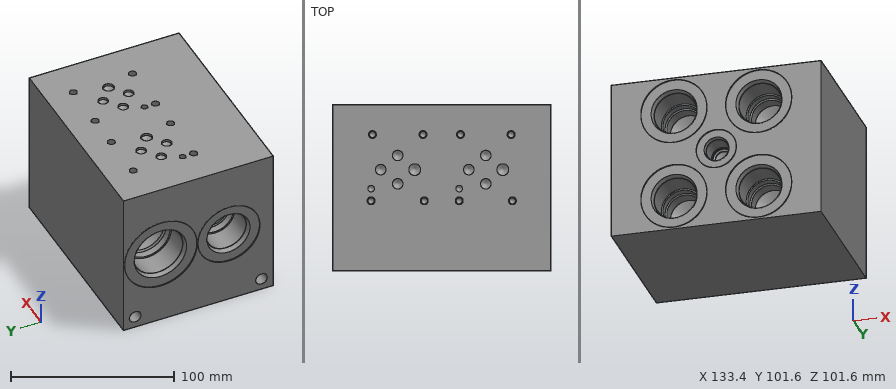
import cadquery as cq
import math

LENGTH = 133.4
WIDTH = 101.6
HEIGHT = 101.6
MID_X = LENGTH / 2
MID_Z = HEIGHT / 2

DRILL_POINT_ANGLE = 118.0

SPOTFACE_DEPTH = 0.8
LARGE_PORT = {
    "spotface": 49.2, "mouth": 35.5, "seat": 33.7, "thread": 33.3, "tap_drill": 31.2, "pilot": 28.5,
    "mouth_depth": 4.1, "thread_depth": 19.9, "tap_depth": 24.7, "pilot_depth": 33.3,
}
MEDIUM_PORT = {
    "spotface": 42.0, "mouth": 29.2, "seat": 27.5, "thread": 27.0, "tap_drill": 25.0, "pilot": 23.1,
    "mouth_depth": 4.1, "thread_depth": 19.9, "tap_depth": 24.7, "pilot_depth": 33.3,
}
GAUGE_PORT = {
    "spotface": 25.5, "mouth": 15.7, "seat": 14.7, "thread": 14.3, "tap_drill": 13.0, "pilot": 10.7,
    "mouth_depth": 3.2, "thread_depth": 14.7, "tap_depth": 16.0, "pilot_depth": 17.3,
}

STATION_OFFSET = 27.0
WORK_PORT_OFFSET = 28.5
TANK_PORT_Y = 76.1
PRESSURE_PORT_Y = 30.0

MOUNT_INSET = 8.0
MOUNT_THREAD = 7.9
MOUNT_DRILL = 6.5
MOUNT_THREAD_DEPTH = 16.0
MOUNT_DRILL_DEPTH = 20.0

FIRST_BOLT_Y = 83.3
BOLT_OFFSETS = [(0, 0), (-0.8, 40.5), (31.7, 40.5), (31.0, 0)]
BOLT_THREAD = 4.8
BOLT_DRILL = 3.7
BOLT_THREAD_DEPTH = 12.7
BOLT_DRILL_DEPTH = 16.0
PIN_OFFSET = (-0.8, 33.1)
PIN_DIAMETER = 4.0
PIN_DEPTH = 4.0
VALVE_CENTRE = (15.5, 21.5)
WORK_PASSAGE_SPREAD = 8.7
SIDE_PASSAGE_SPREAD = 10.4
PASSAGE = 6.4
PRESSURE_PASSAGE = 7.2
PASSAGE_DEPTH = 1.6


def cone_depth(diameter):
    """Depth over which a drill point narrows by the given diameter."""
    return diameter / 2 / math.tan(math.radians(DRILL_POINT_ANGLE / 2))


def bore(steps):
    """Solid of revolution about Z, going down from the origin and ending in a drill point.

    Each step is (top diameter, bottom diameter, depth of its bottom).
    """
    outline = [(0, 0)]
    depth = 0
    for top_diameter, bottom_diameter, bottom in steps:
        corner = (top_diameter / 2, -depth)
        if corner != outline[-1]:
            outline.append(corner)
        outline.append((bottom_diameter / 2, -bottom))
        depth = bottom
    outline.append((0, -depth - cone_depth(bottom_diameter)))
    return cq.Workplane("XZ").polyline(outline).close().revolve(360, (0, 0, 0), (0, 1, 0))


def straight(diameter, bottom):
    """A bore step with parallel sides."""
    return (diameter, diameter, bottom)


def port(size):
    """Cutter for a threaded port; the tap drill narrows to the pilot as a drill point."""
    shoulder_depth = size["tap_depth"] + cone_depth(size["tap_drill"] - size["pilot"])
    return bore([
        straight(size["spotface"], SPOTFACE_DEPTH),
        (size["mouth"], size["seat"], size["mouth_depth"]),
        straight(size["thread"], size["thread_depth"]),
        straight(size["tap_drill"], size["tap_depth"]),
        (size["tap_drill"], size["pilot"], shoulder_depth),
        straight(size["pilot"], size["pilot_depth"]),
    ])


def into_front(cutter, x, z):
    return cutter.rotate((0, 0, 0), (1, 0, 0), 90).translate((x, 0, z))


def into_left(cutter, y, z):
    return cutter.rotate((0, 0, 0), (0, 1, 0), -90).translate((0, y, z))


def into_top(cutter, x, y):
    return cutter.translate((x, y, HEIGHT))


def valve_pattern(first_x):
    """Cutters for one valve, with its first bolt hole at first_x."""
    bolt = bore([straight(BOLT_THREAD, BOLT_THREAD_DEPTH), straight(BOLT_DRILL, BOLT_DRILL_DEPTH)])
    passage = bore([straight(PASSAGE, PASSAGE_DEPTH)])
    pressure = bore([straight(PRESSURE_PASSAGE, PASSAGE_DEPTH)])
    pin = bore([straight(PIN_DIAMETER, PIN_DEPTH)])
    centre_x, centre_y = VALVE_CENTRE
    holes = [(bolt, offset) for offset in BOLT_OFFSETS]
    holes += [
        (passage, (centre_x, centre_y - WORK_PASSAGE_SPREAD)),
        (passage, (centre_x, centre_y + WORK_PASSAGE_SPREAD)),
        (passage, (centre_x - SIDE_PASSAGE_SPREAD, centre_y)),
        (pressure, (centre_x + SIDE_PASSAGE_SPREAD, centre_y)),
        (pin, PIN_OFFSET),
    ]
    return [into_top(cutter, first_x + dx, FIRST_BOLT_Y - dy) for cutter, (dx, dy) in holes]


cutters = [into_front(port(GAUGE_PORT), MID_X, MID_Z)]
for station_x in (MID_X - STATION_OFFSET, MID_X + STATION_OFFSET):
    for port_z in (MID_Z - WORK_PORT_OFFSET, MID_Z + WORK_PORT_OFFSET):
        cutters.append(into_front(port(MEDIUM_PORT), station_x, port_z))
    cutters += valve_pattern(station_x - VALVE_CENTRE[0])

cutters.append(into_left(port(LARGE_PORT), TANK_PORT_Y, MID_Z))
cutters.append(into_left(port(MEDIUM_PORT), PRESSURE_PORT_Y, MID_Z))

mount_hole = bore([straight(MOUNT_THREAD, MOUNT_THREAD_DEPTH), straight(MOUNT_DRILL, MOUNT_DRILL_DEPTH)])
for mount_y in (MOUNT_INSET, WIDTH - MOUNT_INSET):
    cutters.append(into_left(mount_hole, mount_y, MOUNT_INSET))

result = cq.Workplane("XY").box(LENGTH, WIDTH, HEIGHT, centered=False)
for cutter in cutters:
    result = result.cut(cutter)